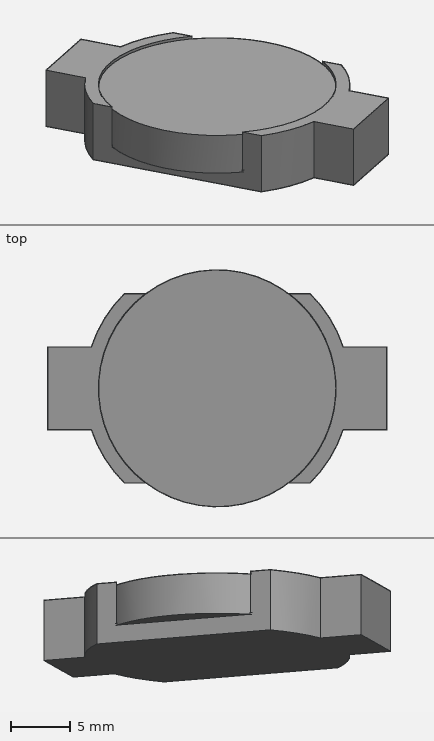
import cadquery as cq

length = 28.6
holder_height = 5.2
holder_width = 16.0
body_diameter = 22.37
tab_width = 7.0

cell_diameter = 20.0
cell_thickness = 3.5
floor_thickness = 1.5
seat_depth = 0.17
pocket_clearance = 0.03


def disc(diameter, bottom, height):
    """Cylinder on the Z axis, rising from the given bottom height."""
    return cq.Workplane("XY").workplane(offset=bottom).circle(diameter / 2).extrude(height)


def holder_block(width):
    """Full-length, full-height block of the given Y width, standing on Z = 0."""
    return cq.Workplane("XY").box(length, width, holder_height, centered=(True, True, False))


def make_holder():
    """Flat-sided round body with two end tabs and a round pocket open at the top and sides."""
    flats = holder_block(holder_width)
    body = disc(body_diameter, 0, holder_height).intersect(flats)
    tabs = holder_block(tab_width)
    seat = disc(cell_diameter, floor_thickness, seat_depth)
    pocket_floor = floor_thickness + seat_depth
    pocket_diameter = cell_diameter + 2 * pocket_clearance
    pocket = disc(pocket_diameter, pocket_floor, holder_height - pocket_floor)
    return body.union(tabs).cut(seat).cut(pocket)


def make_cell():
    """Plain disc resting in the seat at the pocket bottom."""
    return disc(cell_diameter, floor_thickness, cell_thickness)


holder = make_holder()
coin_cell = make_cell()

result = cq.Compound.makeCompound([holder.val(), coin_cell.val()])